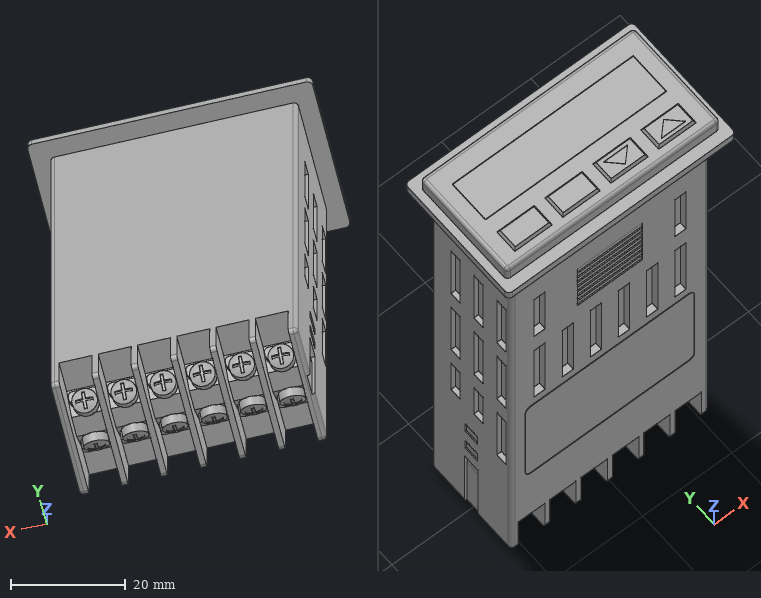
import math

import cadquery as cq


TOTAL_HEIGHT = 103.5
FLANGE_BOTTOM = 97.7
FLANGE_TOP = 99.7
BEZEL_TOP = 102.9

FLANGE_X, FLANGE_Y = 51.1, 28.6
BEZEL_X, BEZEL_Y = 47.8, 23.8
BODY_X, BODY_Y = 44.4, 22.0
FLANGE_CORNER = 0.9
BEZEL_CORNER = 0.8
BEZEL_TOP_RADIUS = 0.7
BODY_RADIUS = 0.8
SIDE_FACE = -BODY_X / 2
FRONT_FACE = -BODY_Y / 2

WINDOW_X, WINDOW_Y = 40.6, 9.1
WINDOW_OFFSET_Y = 3.0
WINDOW_DEPTH = 0.2

KEY_COUNT = 4
KEY_PITCH = 10.8
KEY_X, KEY_Y = 8.4, 5.0
KEY_OFFSET_Y = -7.2
KEY_HEIGHT = TOTAL_HEIGHT - BEZEL_TOP
KEY_INSET = 0.4
ARROW_WIDTH = 5.4
ARROW_HEIGHT = 2.7
ARROW_DEPTH = 0.1

SLOT_WIDTH = 2.5
SLOT_PITCH = 6.3
FRONT_SLOT_COUNT = 6
FRONT_SLOT_DEPTH = 1.6
FRONT_LONG_TOP, FRONT_LONG_LENGTH = 65.5, 16.5
FRONT_SHORT_TOP, FRONT_SHORT_LENGTH = 83.7, 13.0
SIDE_COLUMN_COUNT, SIDE_ROW_COUNT = 3, 3
SIDE_SLOT_DEPTH = 1.0
SIDE_SLOT_CENTRE_Y = -2.0
SIDE_ROW_TOP = 83.9
SIDE_ROW_PITCH = 20.0
SIDE_SLOT_LENGTH = 15.0
SIDE_SHORT_LENGTH = 9.2

GRILLE_WIDTH = 14.5
LOUVRE_COUNT = 8
LOUVRE_PITCH = FRONT_SHORT_LENGTH / LOUVRE_COUNT
LOUVRE_DEPTH = 0.26

LABEL_X, LABEL_Z = 37.9, 23.7
LABEL_CENTRE_Z = 34.7
LABEL_RADIUS = 1.3
LABEL_DEPTH = 0.1

NOTCH_Y, NOTCH_Z = 3.4, 2.5
NOTCH_CENTRES_Z = (26.5, 20.5)
NOTCH_DEPTH = 0.2
NOTCH_TAPER = 35
GROOVE_WIDTH = 3.6
GROOVE_TOP = 16.0
GROOVE_RAMP_END = 13.4
GROOVE_DEEP, GROOVE_SHALLOW = 0.9, 0.5

BAY_COUNT = 6
BAY_PITCH = 7.0
BAY_TOP = 8.5
PARTITION = 1.1
END_WALL = 1.3

BAR_TOP_HALF_Y = 5.4
BAR_BOTTOM = 5.0
BAR_TILT = math.radians(45)
CLAMP_WIDTH = 5.4
CLAMP_LENGTH = 2.3
CLAMP_THICKNESS = 1.7
CLAMP_SETBACK = 0.9
CLAMP_CORNER = 0.8
SCREW_RADIUS = 2.3
SCREW_DOME = 0.6
SCREW_SETBACK = 3.1
CROSS_LENGTH, CROSS_WIDTH = 3.1, 0.5


def centred(count, pitch):
    """Positions of equally spaced items centred on zero."""
    return [(i - (count - 1) / 2) * pitch for i in range(count)]


def block(x, y, z):
    """Box from its (min, max) ranges."""
    size = [high - low for low, high in (x, y, z)]
    return cq.Workplane("XY").box(*size, centered=False).translate((x[0], y[0], z[0]))


def rounded_slab(size_x, size_y, bottom, top, corner):
    slab = cq.Workplane("XY").workplane(offset=bottom).rect(size_x, size_y).extrude(top - bottom)
    return slab.edges("|Z").fillet(corner)


def housing():
    body = cq.Workplane("XY").rect(BODY_X, BODY_Y).extrude(FLANGE_BOTTOM)
    body = body.edges("|Z or <Z").fillet(BODY_RADIUS)
    flange = rounded_slab(FLANGE_X, FLANGE_Y, FLANGE_BOTTOM, FLANGE_TOP, FLANGE_CORNER)
    bezel = rounded_slab(BEZEL_X, BEZEL_Y, FLANGE_TOP, BEZEL_TOP, BEZEL_CORNER)
    bezel = bezel.faces(">Z").edges().fillet(BEZEL_TOP_RADIUS)
    return body.union(flange).union(bezel)


def window():
    y_range = (WINDOW_OFFSET_Y - WINDOW_Y / 2, WINDOW_OFFSET_Y + WINDOW_Y / 2)
    return block((-WINDOW_X / 2, WINDOW_X / 2), y_range, (BEZEL_TOP - WINDOW_DEPTH, BEZEL_TOP))


def key(x):
    taper = math.degrees(math.atan(KEY_INSET / KEY_HEIGHT))
    plane = cq.Workplane("XY").workplane(offset=BEZEL_TOP)
    return plane.center(x, KEY_OFFSET_Y).rect(KEY_X, KEY_Y).extrude(KEY_HEIGHT, taper=taper)


def arrow(x, direction):
    """Triangular engraving on a key; direction is +1 for up and -1 for down."""
    tip = direction * ARROW_HEIGHT / 2
    points = [(-ARROW_WIDTH / 2, -tip), (ARROW_WIDTH / 2, -tip), (0, tip)]
    plane = cq.Workplane("XY").workplane(offset=TOTAL_HEIGHT).center(x, KEY_OFFSET_Y)
    return plane.polyline(points).close().extrude(-ARROW_DEPTH)


def front_slot(x, top, length):
    x_range = (x - SLOT_WIDTH / 2, x + SLOT_WIDTH / 2)
    return block(x_range, (FRONT_FACE, FRONT_FACE + FRONT_SLOT_DEPTH), (top - length, top))


def side_slot(y, top, length):
    y_range = (y - SLOT_WIDTH / 2, y + SLOT_WIDTH / 2)
    return block((SIDE_FACE, SIDE_FACE + SIDE_SLOT_DEPTH), y_range, (top - length, top))


def louvre(top):
    """Wedge cut: flush at its top, deepest at its lower edge."""
    bottom = top - LOUVRE_PITCH
    points = [(FRONT_FACE, top), (FRONT_FACE, bottom), (FRONT_FACE + LOUVRE_DEPTH, bottom)]
    return cq.Workplane("YZ").polyline(points).close().extrude(GRILLE_WIDTH / 2, both=True)


def label():
    plane = cq.Workplane("XZ", origin=(0, FRONT_FACE, LABEL_CENTRE_Z))
    return plane.rect(LABEL_X, LABEL_Z).extrude(-LABEL_DEPTH).edges("|Y").fillet(LABEL_RADIUS)


def notch(z):
    """Shallow recess with sloping sides."""
    plane = cq.Workplane("YZ", origin=(SIDE_FACE, 0, z))
    return plane.rect(NOTCH_Y, NOTCH_Z).extrude(NOTCH_DEPTH, taper=NOTCH_TAPER)


def clip_groove():
    points = [
        (SIDE_FACE, 0),
        (SIDE_FACE + GROOVE_SHALLOW, 0),
        (SIDE_FACE + GROOVE_SHALLOW, GROOVE_RAMP_END),
        (SIDE_FACE + GROOVE_DEEP, GROOVE_TOP),
        (SIDE_FACE, GROOVE_TOP),
    ]
    return cq.Workplane("XZ").polyline(points).close().extrude(GROOVE_WIDTH / 2, both=True)


def bay(x):
    """Opening between two partitions, through the full depth of the body."""
    outer_limit = BODY_X / 2 - END_WALL
    half = (BAY_PITCH - PARTITION) / 2
    x_range = (max(x - half, -outer_limit), min(x + half, outer_limit))
    return block(x_range, (FRONT_FACE, -FRONT_FACE), (0, BAY_TOP))


def terminal_bar():
    inset = (BAY_TOP - BAR_BOTTOM) * math.tan(BAR_TILT)
    bottom_half_y = BAR_TOP_HALF_Y - inset
    points = [
        (-BAR_TOP_HALF_Y, BAY_TOP),
        (BAR_TOP_HALF_Y, BAY_TOP),
        (bottom_half_y, BAR_BOTTOM),
        (-bottom_half_y, BAR_BOTTOM),
    ]
    return cq.Workplane("YZ").polyline(points).close().extrude(BODY_X / 2 - END_WALL, both=True)


def terminal(x):
    """Clamp plate and domed cross-head screw, square to the front slope of the bar."""
    normal = (0, -math.cos(BAR_TILT), -math.sin(BAR_TILT))
    slope = cq.Plane(origin=(x, -BAR_TOP_HALF_Y, BAY_TOP), xDir=(1, 0, 0), normal=normal)
    head = cq.Workplane(slope).center(0, -SCREW_SETBACK)
    clamp = cq.Workplane(slope).center(0, -CLAMP_SETBACK - CLAMP_LENGTH / 2)
    clamp = clamp.rect(CLAMP_WIDTH, CLAMP_LENGTH).extrude(CLAMP_THICKNESS)
    clamp = clamp.edges(cq.selectors.ParallelDirSelector(slope.zDir)).fillet(CLAMP_CORNER)
    screw = head.circle(SCREW_RADIUS).extrude(CLAMP_THICKNESS + SCREW_DOME)
    sphere_radius = (SCREW_RADIUS ** 2 + SCREW_DOME ** 2) / (2 * SCREW_DOME)
    sphere_height = CLAMP_THICKNESS + SCREW_DOME - sphere_radius
    screw = screw.intersect(head.workplane(offset=sphere_height).sphere(sphere_radius))
    cross_plane = head.workplane(offset=CLAMP_THICKNESS)
    for size in ((CROSS_LENGTH, CROSS_WIDTH), (CROSS_WIDTH, CROSS_LENGTH)):
        screw = screw.cut(cross_plane.rect(*size).extrude(SCREW_DOME))
    return clamp.union(screw)


result = housing().cut(window())

key_places = centred(KEY_COUNT, KEY_PITCH)
for x in key_places:
    result = result.union(key(x))
result = result.cut(arrow(key_places[-2], -1)).cut(arrow(key_places[-1], 1))

front_places = centred(FRONT_SLOT_COUNT, SLOT_PITCH)
for x in front_places:
    result = result.cut(front_slot(x, FRONT_LONG_TOP, FRONT_LONG_LENGTH))
for x in (front_places[0], front_places[-1]):
    result = result.cut(front_slot(x, FRONT_SHORT_TOP, FRONT_SHORT_LENGTH))
for i in range(LOUVRE_COUNT):
    result = result.cut(louvre(FRONT_SHORT_TOP - i * LOUVRE_PITCH))
result = result.cut(label())

for column, offset in enumerate(centred(SIDE_COLUMN_COUNT, SLOT_PITCH)):
    for row in range(SIDE_ROW_COUNT):
        shortened = row == SIDE_ROW_COUNT - 1 and column > 0
        length = SIDE_SHORT_LENGTH if shortened else SIDE_SLOT_LENGTH
        row_top = SIDE_ROW_TOP - row * SIDE_ROW_PITCH
        result = result.cut(side_slot(SIDE_SLOT_CENTRE_Y + offset, row_top, length))
for z in NOTCH_CENTRES_Z:
    result = result.cut(notch(z))
result = result.cut(clip_groove())

bay_places = centred(BAY_COUNT, BAY_PITCH)
for x in bay_places:
    result = result.cut(bay(x))
result = result.union(terminal_bar())
for x in bay_places:
    front_terminal = terminal(x)
    result = result.union(front_terminal).union(front_terminal.mirror("XZ"))